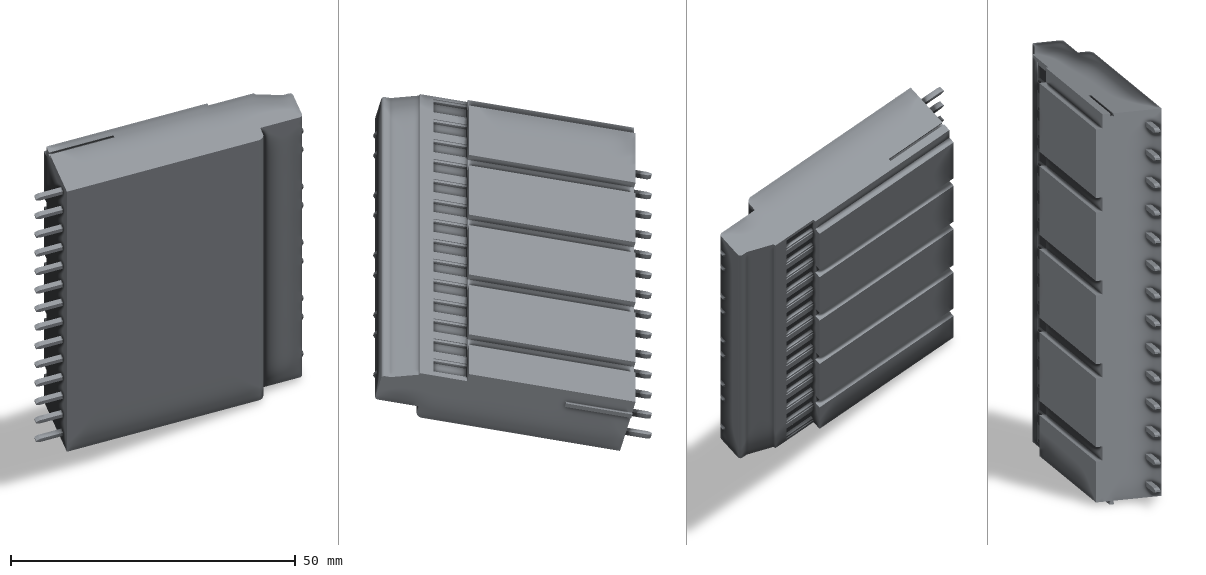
import cadquery as cq

pole_count = 14
housing_height = 71.1
housing_width = 12.2
housing_depth = 44.8
pitch = housing_height / pole_count

thick_depth = 30.0
thin_wall_x = 1.7
lip_x = 2.15
lip_start_y = 38.45
lip_end_y = 38.65
slope_end_y = 43.25
nose_left_x = 3.8
nose_right_x = 9.6
shoulder_y = 36.85
nose_radius = 0.6
shoulder_radius = 1.15

groove_count = 5
poles_per_section = 3
groove_spacing = poles_per_section * pitch
groove_width = 2.65
groove_depth = 1.2

recess_end_y = 36.0
recess_height = 3.65
recess_depth = 0.15
cavity_height = 2.65
cavity_floor_depth = 0.7
cavity_undercut = 0.7

pin_length = 5.0
pin_width = 1.0
pin_height = 0.85
pin_x = 9.7
pin_tip_length = 0.7
pin_tip_height = 0.35

dovetail_height = 0.65
dovetail_root_width = 0.5
dovetail_tip_width = 0.85
dovetail_length = 12.0
dovetail_x = 2.95

bump_x = 8.45
bump_height = 0.4
bump_width = 1.2
bump_base_height = 0.85
bump_taper = 35


def pole_centre(pole):
    return housing_height - (pole + 0.5) * pitch


def box(x_start, x_end, y_start, y_end, z_start, z_end):
    size = (x_end - x_start, y_end - y_start, z_end - z_start)
    return cq.Workplane("XY").box(*size, centered=False).translate((x_start, y_start, z_start))


def make_housing():
    outline = [
        (0, 0),
        (housing_width, 0),
        (housing_width, shoulder_y),
        (nose_right_x, shoulder_y),
        (nose_right_x, housing_depth),
        (nose_left_x, housing_depth),
        (nose_left_x, slope_end_y),
        (lip_x, lip_end_y),
        (thin_wall_x, lip_start_y),
        (thin_wall_x, thick_depth),
        (0, thick_depth),
    ]
    housing = cq.Workplane("XY").polyline(outline).close().extrude(housing_height)
    housing = housing.edges("|Z").edges(">Y").fillet(nose_radius)
    shoulder_edge = cq.selectors.NearestToPointSelector((housing_width, shoulder_y, housing_height / 2))
    return housing.edges(shoulder_edge).fillet(shoulder_radius)


def make_groove(index):
    top = housing_height - index * groove_spacing
    return box(0, groove_depth, 0, thick_depth, top - groove_width, top)


def make_pocket(pole):
    centre = pole_centre(pole)
    recess_floor_x = thin_wall_x + recess_depth
    recess = box(
        thin_wall_x, recess_floor_x,
        thick_depth, recess_end_y,
        centre - recess_height / 2, centre + recess_height / 2,
    )
    cavity = box(
        recess_floor_x, thin_wall_x + cavity_floor_depth,
        thick_depth, recess_end_y + cavity_undercut,
        centre - cavity_height / 2, centre + cavity_height / 2,
    )
    return recess.union(cavity)


def make_pin(pole):
    tip_start = -pin_length + pin_tip_length
    half_outline = [(0, pin_height / 2), (tip_start, pin_height / 2), (-pin_length, pin_tip_height / 2)]
    outline = half_outline + [(y, -z) for y, z in reversed(half_outline)]
    pin = cq.Workplane("YZ").polyline(outline).close().extrude(pin_width / 2, both=True)
    return pin.translate((pin_x, 0, pole_centre(pole)))


def make_dovetail(root_z):
    """A dovetail bar along Y that widens downwards from root_z."""
    outline = [
        (dovetail_x - dovetail_root_width / 2, root_z),
        (dovetail_x + dovetail_root_width / 2, root_z),
        (dovetail_x + dovetail_tip_width / 2, root_z - dovetail_height),
        (dovetail_x - dovetail_tip_width / 2, root_z - dovetail_height),
    ]
    return cq.Workplane("XZ").polyline(outline).close().extrude(-dovetail_length)


def make_bump(boundary):
    bump = cq.Workplane("XY").rect(bump_width, bump_base_height).extrude(bump_height, taper=bump_taper)
    bump = bump.rotate((0, 0, 0), (1, 0, 0), -90)
    return bump.translate((bump_x, housing_depth, housing_height - boundary * pitch))


result = make_housing()

for index in range(groove_count):
    result = result.cut(make_groove(index))

for pole in range(pole_count):
    result = result.cut(make_pocket(pole))
    result = result.union(make_pin(pole))

for boundary in range(1, pole_count):
    if boundary % poles_per_section:
        result = result.union(make_bump(boundary))

result = result.cut(make_dovetail(housing_height)).union(make_dovetail(0))